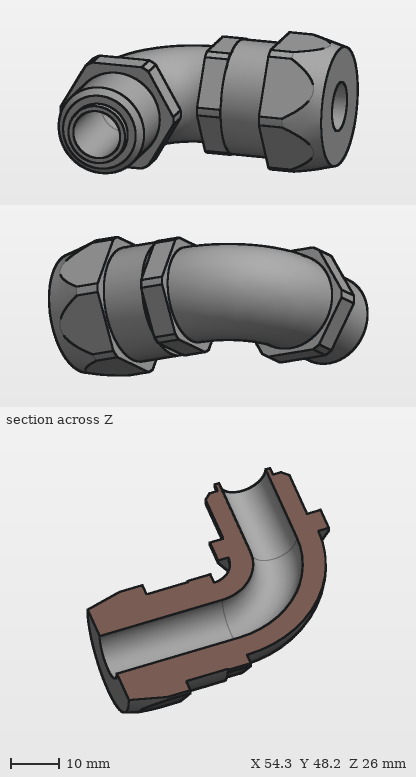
import cadquery as cq
import math


bend_radius = 14.95
elbow_diameter = 20.0
bore_diameter = 10.2

collar_flats = 22.05
collar_corners = 24.55
collar_width = 5.05

thread_diameter = 18.6
thread_length = 11.95
thread_chamfer_length = 1.3
thread_chamfer_radial = 1.4
spigot_diameter = 12.3
spigot_length = 1.8

body_diameter = 24.0
body_length = 9.1
cap_flats = 26.0
cap_corners = 29.0
cap_length = 12.9
cap_straight_length = 5.05
cap_end_diameter = 24.9


def inlet_plane(distance):
    """Plane facing -Y at a distance along the inlet axis."""
    return cq.Workplane("XZ", origin=(0, -distance, 0))


def outlet_plane(distance):
    """Plane facing +X at a distance along the outlet axis."""
    return cq.Workplane("YZ", origin=(distance, 0, 0))


def hexagon(plane, flats, length):
    """Sharp hexagonal prism with its flats facing +Z and -Z."""
    sharp_corners = flats / math.cos(math.pi / 6)
    return plane.polygon(6, sharp_corners).extrude(length)


def collar(plane):
    """Hexagon whose corners are turned down to a cylinder."""
    turned = plane.circle(collar_corners / 2).extrude(collar_width)
    return hexagon(plane, collar_flats, collar_width).intersect(turned)


def bend(diameter):
    """Quarter-circle tube from the inlet collar to the outlet collar."""
    path = (
        cq.Workplane("XY")
        .moveTo(0, -bend_radius)
        .radiusArc((bend_radius, 0), bend_radius)
    )
    return inlet_plane(bend_radius).circle(diameter / 2).sweep(path)


collar_end = bend_radius + collar_width
thread_end = collar_end + thread_length
spigot_end = thread_end + spigot_length
body_end = collar_end + body_length
cap_end = body_end + cap_length


def inlet_thread():
    """Threaded shank as a plain cylinder with a chamfered end."""
    radius = thread_diameter / 2
    profile = (
        cq.Workplane("XY")
        .moveTo(0, -collar_end)
        .lineTo(radius, -collar_end)
        .lineTo(radius, -thread_end + thread_chamfer_length)
        .lineTo(radius - thread_chamfer_radial, -thread_end)
        .lineTo(0, -thread_end)
        .close()
    )
    return profile.revolve(360, (0, 0, 0), (0, 1, 0))


def outlet_cap():
    """Hexagonal cap nut tapered by a cone towards its open end."""
    turned = (
        cq.Workplane("XY")
        .moveTo(body_end, 0)
        .lineTo(body_end, cap_corners / 2)
        .lineTo(body_end + cap_straight_length, cap_corners / 2)
        .lineTo(cap_end, cap_end_diameter / 2)
        .lineTo(cap_end, 0)
        .close()
        .revolve(360, (0, 0, 0), (1, 0, 0))
    )
    return hexagon(outlet_plane(body_end), cap_flats, cap_length).intersect(turned)


spigot = inlet_plane(thread_end).circle(spigot_diameter / 2).extrude(spigot_length)
body = outlet_plane(collar_end).circle(body_diameter / 2).extrude(body_length)

outside = (
    bend(elbow_diameter)
    .union(collar(inlet_plane(bend_radius)))
    .union(inlet_thread())
    .union(spigot)
    .union(collar(outlet_plane(bend_radius)))
    .union(body)
    .union(outlet_cap())
)

inlet_bore = inlet_plane(bend_radius).circle(bore_diameter / 2).extrude(spigot_end - bend_radius)
outlet_bore = outlet_plane(bend_radius).circle(bore_diameter / 2).extrude(cap_end - bend_radius)

result = outside.cut(inlet_bore).cut(bend(bore_diameter)).cut(outlet_bore)